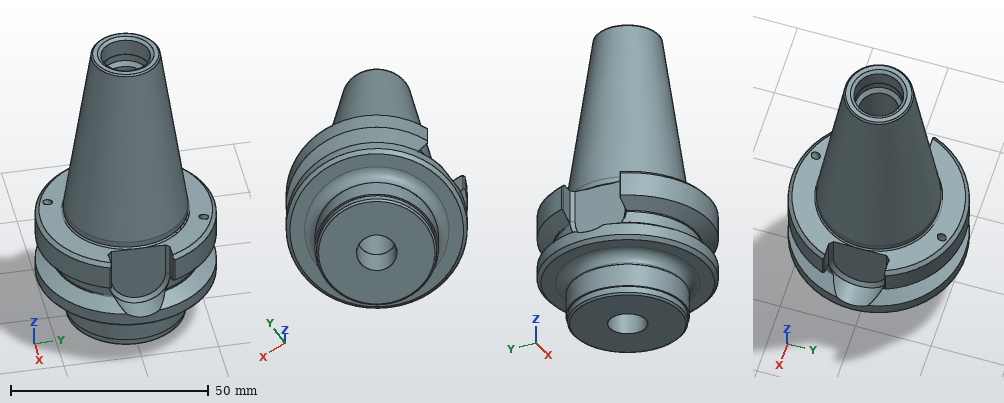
import cadquery as cq
import math

CLEARANCE = 0.8

TOTAL_HEIGHT = 82.4
NUT_HEIGHT = 8.5
NUT_STEP_HEIGHT = 2.2
NECK_FILLET_START = 9.1
FLANGE_BOTTOM = 12.0
GROOVE_BOTTOM = 16.3
GROOVE_TOP = 24.5
FLANGE_TOP = 32.0
GAUGE_HEIGHT = 33.95

FLANGE_RADIUS = 23.0
GROOVE_RADIUS = 18.95
GAUGE_RADIUS = 15.8
TAPER_TOP_RADIUS = 8.8
NECK_RADIUS = 15.3
NUT_RADIUS = 15.65
NUT_TIP_RADIUS = 15.25

FLANGE_CHAMFER = 1.0
GROOVE_FLANK_ANGLE = 30.0
GROOVE_FILLET = 0.3
TAPER_BASE_FILLET = 0.4
TAPER_TOP_CHAMFER = 0.4
NECK_FILLET = FLANGE_BOTTOM - NECK_FILLET_START
NUT_CHAMFER = 0.5

BORE_RADIUS = 5.1
THREAD_RADIUS = 6.3
THREAD_DEPTH = 5.1
RELIEF_RADIUS = 6.2
RELIEF_DEPTH = 7.1
RELIEF_CONE_HEIGHT = RELIEF_RADIUS - BORE_RADIUS
MOUTH_RADIUS = 7.2
MOUTH_DEPTH = 0.6

SLOT_HALF_WIDTH = 8.0
SLOT_CENTER_HEIGHT = 23.15
SLOT_FLOOR_OFFSET = 16.15
SLOT_FLOOR_CHAMFER = 1.0
SLOT_EDGE_CHAMFER = 0.5

COOLANT_DIAMETER = 2.0
COOLANT_DEPTH = 9.9
COOLANT_RADIUS = 20.0
COOLANT_ANGLE = 70.0
COOLANT_TILT = 35.0


def make_holder_blank():
    """Turned outside shape: neck, V-grooved flange and taper."""
    flank_height = (FLANGE_RADIUS - GROOVE_RADIUS) * math.tan(math.radians(GROOVE_FLANK_ANGLE))
    body = (
        cq.Workplane("XZ")
        .moveTo(0, NUT_HEIGHT)
        .lineTo(NECK_RADIUS, NUT_HEIGHT)
        .lineTo(NECK_RADIUS, NECK_FILLET_START)
        .radiusArc((NECK_RADIUS + NECK_FILLET, FLANGE_BOTTOM), NECK_FILLET)
        .lineTo(FLANGE_RADIUS - FLANGE_CHAMFER, FLANGE_BOTTOM)
        .lineTo(FLANGE_RADIUS, FLANGE_BOTTOM + FLANGE_CHAMFER)
        .lineTo(FLANGE_RADIUS, GROOVE_BOTTOM)
        .lineTo(GROOVE_RADIUS, GROOVE_BOTTOM + flank_height)
        .lineTo(GROOVE_RADIUS, GROOVE_TOP - flank_height)
        .lineTo(FLANGE_RADIUS, GROOVE_TOP)
        .lineTo(FLANGE_RADIUS, FLANGE_TOP - FLANGE_CHAMFER)
        .lineTo(FLANGE_RADIUS - FLANGE_CHAMFER, FLANGE_TOP)
        .lineTo(GAUGE_RADIUS + TAPER_BASE_FILLET, FLANGE_TOP)
        .radiusArc((GAUGE_RADIUS, FLANGE_TOP + TAPER_BASE_FILLET), TAPER_BASE_FILLET)
        .lineTo(GAUGE_RADIUS, GAUGE_HEIGHT)
        .lineTo(TAPER_TOP_RADIUS, TOTAL_HEIGHT - TAPER_TOP_CHAMFER)
        .lineTo(TAPER_TOP_RADIUS - TAPER_TOP_CHAMFER, TOTAL_HEIGHT)
        .lineTo(0, TOTAL_HEIGHT)
        .close()
        .revolve(360, (0, 0, 0), (0, 1, 0))
    )
    groove_corners = cq.selectors.BoxSelector(
        (-FLANGE_RADIUS, -FLANGE_RADIUS, GROOVE_BOTTOM + CLEARANCE),
        (FLANGE_RADIUS, FLANGE_RADIUS, GROOVE_TOP - CLEARANCE),
    )
    return body.edges("%CIRCLE").edges(groove_corners).fillet(GROOVE_FILLET)


def make_holder_bore():
    """Chamfered mouth, thread bore, relief and its cone, then the through bore."""
    return (
        cq.Workplane("XZ")
        .moveTo(0, NUT_HEIGHT)
        .lineTo(BORE_RADIUS, NUT_HEIGHT)
        .lineTo(BORE_RADIUS, TOTAL_HEIGHT - RELIEF_DEPTH - RELIEF_CONE_HEIGHT)
        .lineTo(RELIEF_RADIUS, TOTAL_HEIGHT - RELIEF_DEPTH)
        .lineTo(RELIEF_RADIUS, TOTAL_HEIGHT - THREAD_DEPTH)
        .lineTo(THREAD_RADIUS, TOTAL_HEIGHT - THREAD_DEPTH)
        .lineTo(THREAD_RADIUS, TOTAL_HEIGHT - MOUTH_DEPTH)
        .lineTo(MOUTH_RADIUS, TOTAL_HEIGHT)
        .lineTo(0, TOTAL_HEIGHT)
        .close()
        .revolve(360, (0, 0, 0), (0, 1, 0))
    )


def make_drive_slot():
    """Cutter for the +X slot: round lower end, open top, bevelled floor rim and mouth edges."""
    slot_length = FLANGE_RADIUS - SLOT_FLOOR_OFFSET + CLEARANCE
    slot_height = FLANGE_TOP - SLOT_CENTER_HEIGHT
    slot = (
        cq.Workplane("YZ", origin=(SLOT_FLOOR_OFFSET, 0, SLOT_CENTER_HEIGHT))
        .moveTo(-SLOT_HALF_WIDTH, slot_height)
        .lineTo(-SLOT_HALF_WIDTH, 0)
        .threePointArc((0, -SLOT_HALF_WIDTH), (SLOT_HALF_WIDTH, 0))
        .lineTo(SLOT_HALF_WIDTH, slot_height)
        .close()
        .extrude(slot_length)
    )
    slot = slot.faces("<X").edges("not >Z").chamfer(SLOT_FLOOR_CHAMFER)

    wall_end = math.sqrt(FLANGE_RADIUS**2 - SLOT_HALF_WIDTH**2)
    bevel_start = wall_end - SLOT_EDGE_CHAMFER
    bevel_run = FLANGE_RADIUS - bevel_start
    mouth_bevel = (
        cq.Workplane("XY", origin=(0, 0, SLOT_CENTER_HEIGHT))
        .moveTo(bevel_start, -SLOT_HALF_WIDTH)
        .lineTo(FLANGE_RADIUS, -SLOT_HALF_WIDTH - bevel_run)
        .lineTo(FLANGE_RADIUS, SLOT_HALF_WIDTH + bevel_run)
        .lineTo(bevel_start, SLOT_HALF_WIDTH)
        .close()
        .extrude(slot_height)
    )
    return slot.union(mouth_bevel)


def make_coolant_hole():
    """Cutter for one blind hole that leans toward the axis as it goes down."""
    tilt = math.radians(COOLANT_TILT)
    downward = cq.Vector(-math.sin(tilt), 0, -math.cos(tilt))
    entry = cq.Vector(COOLANT_RADIUS, 0, FLANGE_TOP)
    start = entry - downward * COOLANT_DIAMETER
    length = COOLANT_DEPTH + COOLANT_DIAMETER
    hole = cq.Solid.makeCylinder(COOLANT_DIAMETER / 2, length, start, downward)
    return cq.Workplane(hole).rotate((0, 0, 0), (0, 0, 1), COOLANT_ANGLE)


def make_holder():
    """Tool holder: turned blank with its bore, two drive slots and two coolant holes."""
    holder = make_holder_blank().cut(make_holder_bore())
    for turn in (0, 180):
        for cutter in (make_drive_slot(), make_coolant_hole()):
            holder = holder.cut(cutter.rotate((0, 0, 0), (0, 0, 1), turn))
    return holder.solids()


def make_nut():
    """Clamping nut: plain ring with a slightly smaller, chamfered lower tip."""
    return (
        cq.Workplane("XZ")
        .moveTo(BORE_RADIUS, 0)
        .lineTo(NUT_TIP_RADIUS - NUT_CHAMFER, 0)
        .lineTo(NUT_TIP_RADIUS, NUT_CHAMFER)
        .lineTo(NUT_TIP_RADIUS, NUT_STEP_HEIGHT)
        .lineTo(NUT_RADIUS, NUT_STEP_HEIGHT)
        .lineTo(NUT_RADIUS, NUT_HEIGHT)
        .lineTo(BORE_RADIUS, NUT_HEIGHT)
        .close()
        .revolve(360, (0, 0, 0), (0, 1, 0))
    )


holder = make_holder()
nut = make_nut()
result = cq.Compound.makeCompound([holder.val(), nut.val()])